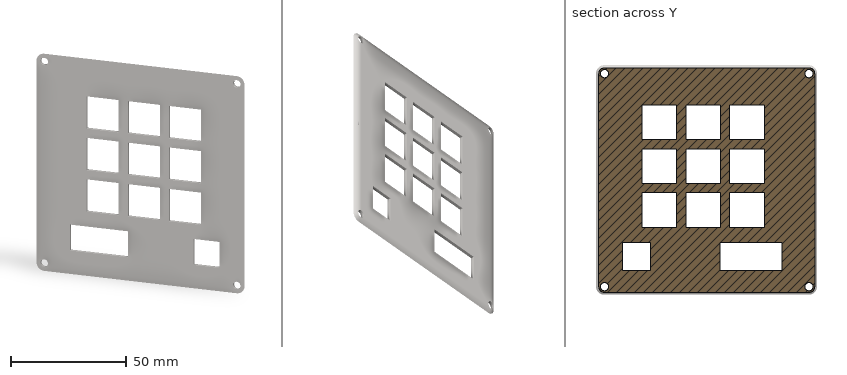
import cadquery as cq
import math

width = 95.72
height = 99.45
thickness = 1.5

rim_radius = 5.0
rim_inset = math.sqrt(rim_radius**2 - (rim_radius - thickness) ** 2)
rim_overhang = rim_radius - rim_inset
block_depth = 2 * rim_radius

hole_diameter = 3.4
hole_spacing_x = width - 2 * rim_inset
hole_spacing_z = height - 2 * rim_inset

key_size = 14.8
key_pitch = 19.0
key_count = 3
key_grid_x = 1.55
key_grid_z = 6.05

lower_opening_z = -33.1
lower_opening_height = 11.9
display_width = 26.7
display_x = -19.2
switch_width = 12.0
switch_x = 30.4

front_y = -thickness / 2
back_y = thickness / 2


def make_plate():
    """Deep block with one radius on its corners and back rim, kept only as deep as the plate."""
    block = (
        cq.Workplane("XY")
        .box(width + 2 * rim_overhang, block_depth, height + 2 * rim_overhang)
        .translate((0, back_y - block_depth / 2, 0))
        .edges("|Y or >Y")
        .fillet(rim_radius)
    )
    slab = cq.Workplane("XY").box(2 * width, thickness, 2 * height)
    return block.intersect(slab)


def opening(x, z, size_x, size_z):
    """Rectangular cutter passing through the whole plate."""
    return cq.Workplane("XY").box(size_x, 2 * thickness, size_z).translate((x, 0, z))


def cut_screw_holes(plate):
    cutters = (
        cq.Workplane("XZ", origin=(0, front_y, 0))
        .rect(hole_spacing_x, hole_spacing_z, forConstruction=True)
        .vertices()
        .circle(hole_diameter / 2)
        .extrude(-thickness)
    )
    return plate.cut(cutters)


def cut_key_openings(plate):
    middle = (key_count - 1) / 2
    for column in range(key_count):
        for row in range(key_count):
            x = key_grid_x + (column - middle) * key_pitch
            z = key_grid_z + (row - middle) * key_pitch
            plate = plate.cut(opening(x, z, key_size, key_size))
    return plate


def cut_lower_openings(plate):
    plate = plate.cut(opening(display_x, lower_opening_z, display_width, lower_opening_height))
    return plate.cut(opening(switch_x, lower_opening_z, switch_width, lower_opening_height))


result = cut_lower_openings(cut_key_openings(cut_screw_holes(make_plate())))